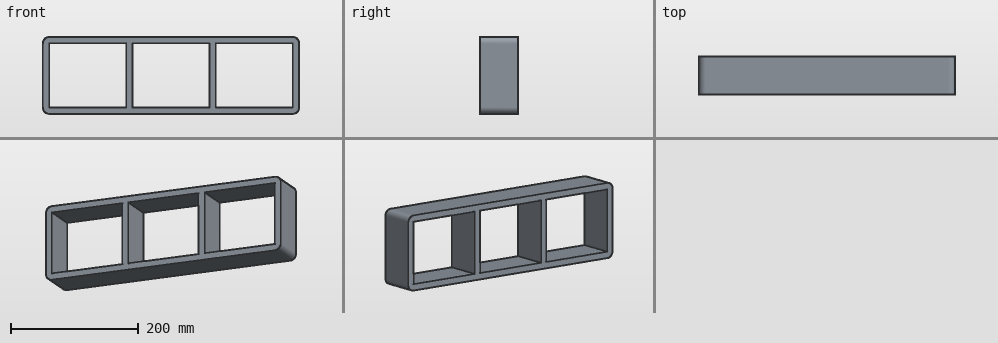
import cadquery as cq

length = 401.5
depth = 60.0
height = 121.0
wall = 10.5
bay_count = 3

corner_radius = wall

bay_width = (length - (bay_count + 1) * wall) / bay_count
bay_height = height - 2 * wall
bay_pitch = bay_width + wall

frame = cq.Workplane("XY").box(length, depth, height).edges("|Y").fillet(corner_radius)

bays = (
    cq.Workplane("XY")
    .rarray(bay_pitch, 4, bay_count, 1)
    .box(bay_width, depth, bay_height)
)

result = frame.cut(bays)